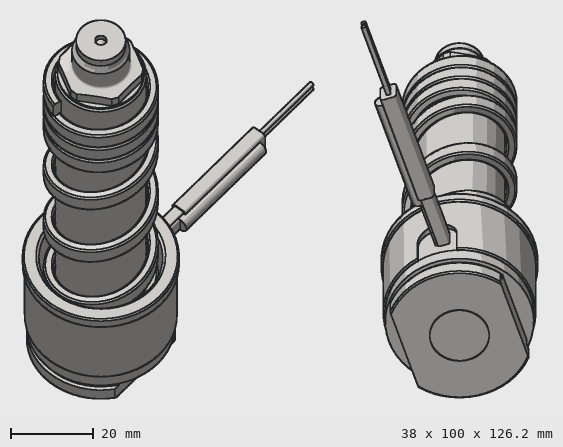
import cadquery as cq
import math

PAD_RADIUS = 7.2
PAD_HEIGHT = 0.25
CAP_RADIUS = 18.0
CAP_TOP = 4.4
CAP_CHAMFER = 0.4
GROOVE_RADIUS = 17.0
GROOVE_TOP = 6.4
FLAT_SPAN = 28.0
BARREL_BOTTOM = 10.3
BARREL_RADIUS = 18.5
BARREL_CHAMFER = 0.4
RIM_RADIUS = 19.0
RIM_BOTTOM = 31.9
RIM_TOP = 35.3
RIM_CHAMFER = 0.4
CUP_RADIUS = 15.0
CUP_CHAMFER = 0.7

CABLE_Z = 17.5
NOTCH_RADIUS = 5.0
NOTCH_FLOOR_Y = 17.0

CORE_RADIUS = 11.0
CORE_TOP = 112.1
CORE_CHAMFER = 0.5
SEAT_RADIUS = 10.5
SEAT_TOP = 112.7
HEX_ACROSS_FLATS = 18.6
HEX_CORNER_RADIUS = 10.25
HEX_EDGE_Z = 115.5
HEX_TOP = 116.1
NOZZLE_RADIUS = 7.0
NOZZLE_FILLET = 0.8
NOZZLE_TOP = 122.0
LEDGE_RADIUS = 6.5
LEDGE_Z = 122.8
LEDGE_TOP = 123.9
TIP_RADIUS = 6.0
TIP_TOP = 126.2
CENTRE_HOLE_RADIUS = 1.4
CENTRE_HOLE_DEPTH = 1.5
CENTRE_PIN_HEIGHT = 0.8

SPRING_INNER_RADIUS = 11.5
SPRING_OUTER_RADIUS = 13.9
SPRING_STRIP_HEIGHT = 5.0
SPRING_EDGE_BEVEL = 0.45
CLOSE_PITCH = 5.3
OPEN_PITCH = 22.1
CLOSE_ANGLE = 3 * 360 + 13
TRANSITION_ANGLE = 151
OPEN_ANGLE = 2 * 360 + 122
SPRING_TOP_ANGLE = 254
SPRING_TOP_Z = 107.4
SPRING_SEAT_OVERLAP = 0.3
PATH_STEP_ANGLE = 10

CABLE_START_Y = 16.0
CABLE_CENTRE_X = -1.45
CABLE_WIDTH = 3.0
CABLE_HEIGHT = 5.4
CABLE_CORNER = 0.55
SECOND_CABLE_OFFSET = 0.65
SECOND_CABLE_HEIGHT = 4.3
SLEEVE_CENTRE_X = -1.4
SLEEVE_WIDTH = 4.1
SLEEVE_HEIGHT = 6.15
SLEEVE_CORNER = 1.0
SLEEVE_LENGTH = 30.0
SLEEVE_START_Y = 31.0
SECOND_SLEEVE_RADIUS = 2.1
SECOND_SLEEVE_CENTRE_X = 0.57
SECOND_SLEEVE_START_Y = 29.0
LEAD_RADIUS = 0.6
LEAD_CENTRE_X = -1.5
LEAD_SPACING = 1.8
LEAD_END_Y = 81.0


def disc(radius, bottom, top):
    return cq.Workplane("XY").workplane(offset=bottom).circle(radius).extrude(top - bottom)


def bar_along_y(section, start_y, end_y):
    """Extrude a closed sketch (X across, Z up) from start_y to end_y."""
    return cq.Workplane("XZ", origin=(0, start_y, 0)).placeSketch(section).extrude(start_y - end_y)


def rounded_section(centre_x, width, height, corner):
    sketch = cq.Sketch().rect(width, height).vertices().fillet(corner)
    return sketch.moved(cq.Location(cq.Vector(centre_x, CABLE_Z, 0)))


def round_section(centre_x, centre_z, radius):
    return cq.Sketch().circle(radius).moved(cq.Location(cq.Vector(centre_x, centre_z, 0)))


SPRING_STRETCHES = [
    (CLOSE_ANGLE, CLOSE_PITCH, CLOSE_PITCH),
    (TRANSITION_ANGLE, CLOSE_PITCH, OPEN_PITCH),
    (OPEN_ANGLE, OPEN_PITCH, OPEN_PITCH),
    (TRANSITION_ANGLE, OPEN_PITCH, CLOSE_PITCH),
    (CLOSE_ANGLE, CLOSE_PITCH, CLOSE_PITCH),
]
SPRING_RISE = sum(angle / 360 * (p0 + p1) / 2 for angle, p0, p1 in SPRING_STRETCHES)
SPRING_BOTTOM_Z = SPRING_TOP_Z - SPRING_RISE
SPRING_BOTTOM_ANGLE = SPRING_TOP_ANGLE - sum(angle for angle, _, _ in SPRING_STRETCHES)
CUP_FLOOR_Z = SPRING_BOTTOM_Z - SPRING_STRIP_HEIGHT / 2 + SPRING_SEAT_OVERLAP


def spring_edge(radius, offset_z, start_angle, start_z, stretch):
    """Helical edge whose pitch changes evenly from one end of the stretch to the other."""
    sweep_angle, start_pitch, end_pitch = stretch
    count = math.ceil(sweep_angle / PATH_STEP_ANGLE)
    angles = [math.radians(start_angle + sweep_angle * i / count) for i in range(count + 1)]
    points = []
    for i, angle in enumerate(angles):
        part = i / count
        mean_pitch = start_pitch + (end_pitch - start_pitch) * part / 2
        z = start_z + offset_z + part * sweep_angle / 360 * mean_pitch
        points.append(cq.Vector(radius * math.cos(angle), radius * math.sin(angle), z))
    tangents = [
        cq.Vector(-radius * math.sin(angle), radius * math.cos(angle), pitch / (2 * math.pi))
        for angle, pitch in ((angles[0], start_pitch), (angles[-1], end_pitch))
    ]
    return cq.Edge.makeSpline(points, tangents=tangents, parameters=angles, scale=False)


def spring_section():
    """Corners (radius, height about the strip's middle) of the bevelled strip, in order."""
    inner = SPRING_INNER_RADIUS
    outer = SPRING_OUTER_RADIUS
    half = SPRING_STRIP_HEIGHT / 2
    bevel = SPRING_EDGE_BEVEL
    return [
        (inner + bevel, -half),
        (outer - bevel, -half),
        (outer, bevel - half),
        (outer, half - bevel),
        (outer - bevel, half),
        (inner + bevel, half),
        (inner, half - bevel),
        (inner, bevel - half),
    ]


def spring_end_face(angle_deg, z):
    angle = math.radians(angle_deg)
    corners = [
        cq.Vector(radius * math.cos(angle), radius * math.sin(angle), z + height)
        for radius, height in spring_section()
    ]
    return cq.Face.makeFromWires(cq.Wire.makePolygon(corners, close=True))


def make_spring():
    """Coiled strip, closed from ruled faces between its corner helices."""
    angle = SPRING_BOTTOM_ANGLE
    z = SPRING_BOTTOM_Z
    faces = [spring_end_face(angle, z)]
    for stretch in SPRING_STRETCHES:
        edges = [spring_edge(radius, height, angle, z, stretch) for radius, height in spring_section()]
        for edge, next_edge in zip(edges, edges[1:] + edges[:1]):
            faces.append(cq.Face.makeRuledSurface(edge, next_edge))
        sweep_angle, start_pitch, end_pitch = stretch
        angle += sweep_angle
        z += sweep_angle / 360 * (start_pitch + end_pitch) / 2
    faces.append(spring_end_face(angle, z))
    return cq.Workplane(cq.Solid.makeSolid(cq.Shell.makeShell(faces)))


def make_base():
    """End cap with two flats, collar, notched barrel and rim, bored out as a cup for the spring."""
    pad = disc(PAD_RADIUS, 0, PAD_HEIGHT)
    cap = disc(CAP_RADIUS, PAD_HEIGHT, CAP_TOP).faces("<Z").chamfer(CAP_CHAMFER)
    groove = disc(GROOVE_RADIUS, CAP_TOP, GROOVE_TOP)
    flats = cq.Workplane("XY").rect(FLAT_SPAN, 2 * CAP_RADIUS).extrude(GROOVE_TOP)
    end_cap = pad.union(cap).union(groove).intersect(flats)

    collar = disc(CAP_RADIUS, GROOVE_TOP, BARREL_BOTTOM)
    barrel = disc(BARREL_RADIUS, BARREL_BOTTOM, RIM_BOTTOM).faces("<Z").chamfer(BARREL_CHAMFER)
    rim = disc(RIM_RADIUS, RIM_BOTTOM, RIM_TOP).faces("<Z or >Z").chamfer(RIM_CHAMFER)
    cup = disc(CUP_RADIUS, CUP_FLOOR_Z, RIM_TOP)
    barrel = barrel.cut(cable_notch()).union(rim)
    base = end_cap.union(collar).union(barrel).cut(cup)
    return base.faces(">Z").edges("%CIRCLE").edges(cq.selectors.RadiusNthSelector(0)).chamfer(CUP_CHAMFER)


def cable_notch():
    """Arched notch, open at the barrel's lower end."""
    arch = bar_along_y(round_section(0, CABLE_Z, NOTCH_RADIUS), NOTCH_FLOOR_Y, RIM_RADIUS)
    leg_size = (2 * NOTCH_RADIUS, RIM_RADIUS - NOTCH_FLOOR_Y, CABLE_Z - BARREL_BOTTOM)
    leg = cq.Workplane("XY").box(*leg_size, centered=(True, False, False))
    return arch.union(leg.translate((0, NOTCH_FLOOR_Y, BARREL_BOTTOM)))


def make_core():
    """Long cylinder through the spring, ending in the seat and the hexagon."""
    core = disc(CORE_RADIUS, PAD_HEIGHT, CORE_TOP).faces(">Z").chamfer(CORE_CHAMFER)
    return core.union(disc(SEAT_RADIUS, CORE_TOP, SEAT_TOP)).union(make_hex())


def make_hex():
    """Wrench hexagon with rounded corners and a coned top."""
    corner_angle = 30
    corner_diameter = HEX_ACROSS_FLATS / math.cos(math.radians(corner_angle))
    hexagon = (
        cq.Workplane("XY")
        .workplane(offset=SEAT_TOP)
        .polygon(6, corner_diameter)
        .extrude(HEX_TOP - SEAT_TOP)
        .rotate((0, 0, 0), (0, 0, 1), corner_angle)
    )
    envelope = (
        cq.Workplane("XZ")
        .moveTo(0, SEAT_TOP)
        .lineTo(HEX_CORNER_RADIUS, SEAT_TOP)
        .lineTo(HEX_CORNER_RADIUS, HEX_EDGE_Z)
        .lineTo(NOZZLE_RADIUS + NOZZLE_FILLET, HEX_TOP)
        .lineTo(0, HEX_TOP)
        .close()
        .revolve()
    )
    return hexagon.intersect(envelope)


def make_nozzle():
    """Stepped nozzle with a flared foot and a conical point standing in the hole at its tip."""
    hole_floor = TIP_TOP - CENTRE_HOLE_DEPTH
    flare = NOZZLE_FILLET * (1 - math.sqrt(0.5))
    return (
        cq.Workplane("XZ")
        .moveTo(0, HEX_TOP)
        .lineTo(NOZZLE_RADIUS + NOZZLE_FILLET, HEX_TOP)
        .threePointArc((NOZZLE_RADIUS + flare, HEX_TOP + flare), (NOZZLE_RADIUS, HEX_TOP + NOZZLE_FILLET))
        .lineTo(NOZZLE_RADIUS, NOZZLE_TOP)
        .lineTo(LEDGE_RADIUS, LEDGE_Z)
        .lineTo(TIP_RADIUS, LEDGE_TOP)
        .lineTo(TIP_RADIUS, TIP_TOP)
        .lineTo(CENTRE_HOLE_RADIUS, TIP_TOP)
        .lineTo(CENTRE_HOLE_RADIUS, hole_floor)
        .lineTo(0, hole_floor + CENTRE_PIN_HEIGHT)
        .close()
        .revolve()
    )


def make_cables():
    """Two cables side by side, each in its sleeve, and the pair of leads from the first."""
    sleeve_end_y = SLEEVE_START_Y + SLEEVE_LENGTH
    second_sleeve_end_y = SECOND_SLEEVE_START_Y + SLEEVE_LENGTH
    second_cable_x = CABLE_CENTRE_X + SECOND_CABLE_OFFSET

    cable = rounded_section(CABLE_CENTRE_X, CABLE_WIDTH, CABLE_HEIGHT, CABLE_CORNER)
    second_cable = rounded_section(second_cable_x, CABLE_WIDTH, SECOND_CABLE_HEIGHT, CABLE_CORNER)
    sleeve = rounded_section(SLEEVE_CENTRE_X, SLEEVE_WIDTH, SLEEVE_HEIGHT, SLEEVE_CORNER)
    second_sleeve = round_section(SECOND_SLEEVE_CENTRE_X, CABLE_Z, SECOND_SLEEVE_RADIUS)

    cables = bar_along_y(cable, CABLE_START_Y, SLEEVE_START_Y)
    cables = cables.union(bar_along_y(second_cable, CABLE_START_Y, SECOND_SLEEVE_START_Y))
    cables = cables.union(bar_along_y(sleeve, SLEEVE_START_Y, sleeve_end_y))
    cables = cables.union(bar_along_y(second_sleeve, SECOND_SLEEVE_START_Y, second_sleeve_end_y))
    for side in (-1, 1):
        lead = round_section(LEAD_CENTRE_X, CABLE_Z + side * LEAD_SPACING / 2, LEAD_RADIUS)
        cables = cables.union(bar_along_y(lead, sleeve_end_y, LEAD_END_Y))
    return cables


result = make_base().union(make_core()).union(make_nozzle()).union(make_cables()).union(make_spring())